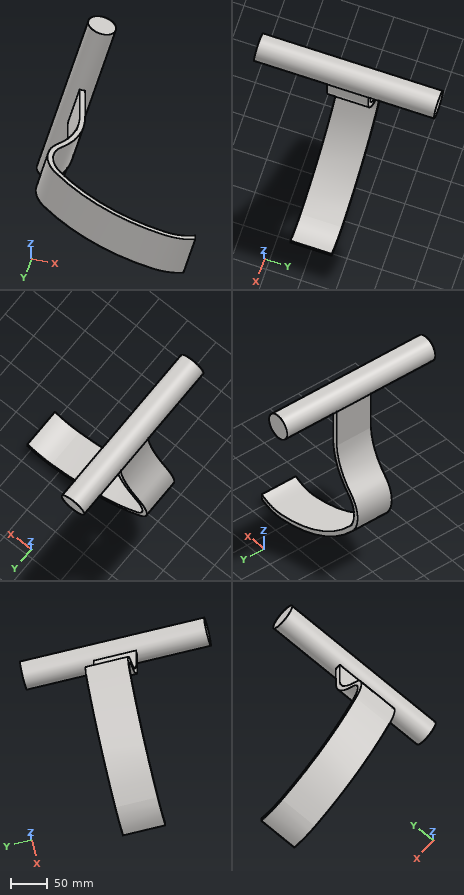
import cadquery as cq
import math

bar_diameter = 40.0
bar_length = 260.0

strip_thickness = 8.0
strip_width = 60.0
shank_bottom_z = -88.0
tip_x = 161.0

shoulder_center = (-106.2, -80.5)
bend_center = (-0.3, -189.5)
sweep_center = (153.8, -57.5)
tip_center = (128.5, -229.0)

bend_radius = 45.2
shoulder_radius = math.dist(shoulder_center, bend_center) - bend_radius
sweep_radius = math.dist(sweep_center, bend_center) + bend_radius
tip_radius = sweep_radius - math.dist(sweep_center, tip_center)


def point_at(center, radius, angle):
    return (center[0] + radius * math.cos(angle), center[1] + radius * math.sin(angle))


def direction(start, end):
    """Angle of the line from start to end, between 0 and a full turn."""
    return math.atan2(end[1] - start[1], end[0] - start[0]) % math.tau


def edge_arcs(offset):
    """Start, middle and end of each arc; a positive offset is the outer (left and lower) edge."""
    shoulder_r = shoulder_radius - offset
    tip_r = tip_radius + offset
    shoulder_start = math.asin((shank_bottom_z - shoulder_center[1]) / shoulder_r)
    shoulder_end = direction(shoulder_center, bend_center) - math.tau
    bend_start = direction(bend_center, shoulder_center)
    bend_end = direction(sweep_center, bend_center)
    sweep_end = direction(sweep_center, tip_center)
    tip_end = math.tau - math.acos((tip_x - tip_center[0]) / tip_r)
    arcs = [
        (shoulder_center, shoulder_r, shoulder_start, shoulder_end),
        (bend_center, bend_radius + offset, bend_start, bend_end),
        (sweep_center, sweep_radius + offset, bend_end, sweep_end),
        (tip_center, tip_r, sweep_end, tip_end),
    ]
    return [
        [point_at(center, radius, angle) for angle in (start, (start + end) / 2, end)]
        for center, radius, start, end in arcs
    ]


def make_strip():
    outer = edge_arcs(strip_thickness / 2)
    inner = edge_arcs(-strip_thickness / 2)
    outer_top = outer[0][0]
    inner_top = inner[0][0]
    tip_inner = inner[-1][2]

    outline = cq.Workplane("XZ").moveTo(outer_top[0], 0).lineTo(*outer_top)
    for _, middle, end in outer:
        outline = outline.threePointArc(middle, end)
    outline = outline.lineTo(*tip_inner)
    for start, middle, _ in reversed(inner):
        outline = outline.threePointArc(middle, start)
    outline = outline.lineTo(inner_top[0], 0).close()
    return outline.extrude(strip_width / 2, both=True)


def make_bar():
    return cq.Workplane("XZ").circle(bar_diameter / 2).extrude(bar_length / 2, both=True)


result = make_bar().union(make_strip())